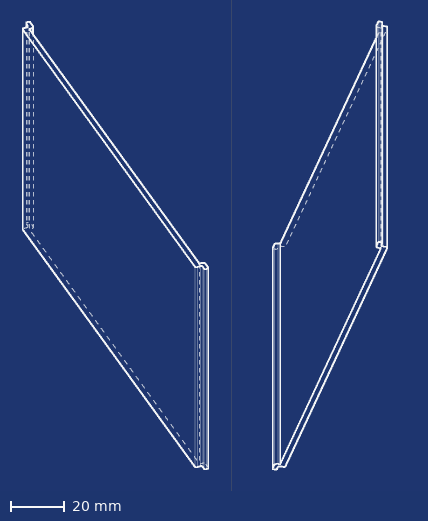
import cadquery as cq

width = 152.4
depth = 4.3
height = 100.0

plate_thickness = 2.3
lip_thickness = 1.7
lip_reach = 2.5
step_wall = 1.4

tip_radius = 0.6
tip_back_radius = 0.5
root_radius = 0.6
plate_radius = 0.6
shoulder_radius = 1.0

tip_x = width / 2
outer_wall_x = tip_x - lip_reach
inner_wall_x = outer_wall_x - step_wall
front_y = -depth / 2
back_y = depth / 2
plate_back_y = front_y + plate_thickness
lip_front_y = back_y - lip_thickness


def box_between(x_min, x_max, y_min, y_max):
    """Full-height block spanning the given X and Y limits."""
    return (
        cq.Workplane("XY")
        .box(x_max - x_min, y_max - y_min, height)
        .translate(((x_min + x_max) / 2, (y_min + y_max) / 2, 0))
    )


def round_upright_edge(body, x, y, radius):
    """Round the vertical edge nearest to the given X, Y position."""
    return body.edges("|Z").edges(cq.NearestToPointSelector((x, y, 0))).fillet(radius)


panel = box_between(-outer_wall_x, outer_wall_x, front_y, plate_back_y)

for side in (-1, 1):
    wall_x = sorted((side * inner_wall_x, side * outer_wall_x))
    lip_x = sorted((side * inner_wall_x, side * tip_x))
    panel = panel.union(box_between(*wall_x, front_y, back_y))
    panel = panel.union(box_between(*lip_x, lip_front_y, back_y))
panel = panel.clean()

for side in (-1, 1):
    panel = round_upright_edge(panel, side * tip_x, lip_front_y, tip_radius)
    panel = round_upright_edge(panel, side * tip_x, back_y, tip_back_radius)
    panel = round_upright_edge(panel, side * outer_wall_x, lip_front_y, root_radius)
    panel = round_upright_edge(panel, side * outer_wall_x, front_y, plate_radius)
    panel = round_upright_edge(panel, side * inner_wall_x, back_y, shoulder_radius)

result = panel